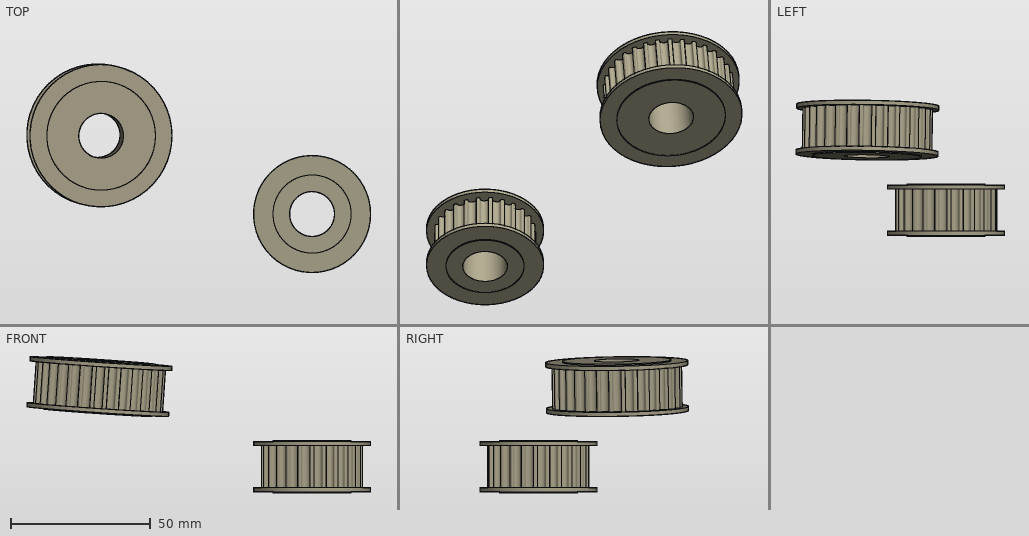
import cadquery as cq
import math

BORE_DIAMETER = 16.0
TOOTH_LENGTH = 15.0
FLANGE_THICKNESS = 1.5
HUB_PROJECTION = 0.4

HUB_LENGTH = TOOTH_LENGTH + 2 * (FLANGE_THICKNESS + HUB_PROJECTION)

GROOVE_WIDTH = 3.0
GROOVE_FLOOR_RADIUS = 2.0
GROOVE_CORNER_RADIUS = 1.15
GROOVE_DEPTH = 1.85
TIP_ROUND = 0.4

SMALL_TEETH = 25
SMALL_TIP_DIAMETER = 36.35
SMALL_FLANGE_DIAMETER = 42.0
SMALL_HUB_DIAMETER = 28.0

LARGE_TEETH = 32
LARGE_TIP_DIAMETER = 46.65
LARGE_FLANGE_DIAMETER = 51.0
LARGE_HUB_DIAMETER = 39.0
LARGE_CENTRE = (-76.18, 28.17, 28.69)
LARGE_TILT_ABOUT_X = 0.9
LARGE_TILT_ABOUT_Y = 3.9


def tooth_outline(teeth, tip_diameter):
    """Closed outline of the toothed rim, with one groove centred on +Y."""
    tip_radius = tip_diameter / 2
    root_radius = tip_radius - GROOVE_DEPTH
    half_width = GROOVE_WIDTH / 2
    floor_centre = root_radius + GROOVE_FLOOR_RADIUS
    corner_offset = half_width - GROOVE_CORNER_RADIUS
    join_angle = math.asin(corner_offset / (GROOVE_FLOOR_RADIUS - GROOVE_CORNER_RADIUS))
    corner_centre = floor_centre - corner_offset / math.tan(join_angle)
    corner_mid_angle = (join_angle + math.pi / 2) / 2
    corner_mid = (
        corner_centre - GROOVE_CORNER_RADIUS * math.cos(corner_mid_angle),
        corner_offset + GROOVE_CORNER_RADIUS * math.sin(corner_mid_angle),
    )
    floor_end = (
        floor_centre - GROOVE_FLOOR_RADIUS * math.cos(join_angle),
        GROOVE_FLOOR_RADIUS * math.sin(join_angle),
    )
    round_offset = half_width + TIP_ROUND
    round_centre = math.sqrt((tip_radius - TIP_ROUND) ** 2 - round_offset**2)
    round_angle = math.atan2(round_offset, round_centre)
    mid_angle = (round_angle - math.pi / 2) / 2
    round_mid = (
        round_centre + TIP_ROUND * math.cos(mid_angle),
        round_offset + TIP_ROUND * math.sin(mid_angle),
    )
    round_end = (tip_radius * math.cos(round_angle), tip_radius * math.sin(round_angle))
    step = 2 * math.pi / teeth

    def turned(point, index, side=1):
        """Turn a point of the groove drawn along +X to groove `index`; side -1 mirrors it first."""
        x = point[0]
        y = side * point[1]
        angle = math.pi / 2 + index * step
        return (
            x * math.cos(angle) - y * math.sin(angle),
            x * math.sin(angle) + y * math.cos(angle),
        )

    wall_outer = (round_centre, half_width)
    wall_inner = (corner_centre, half_width)
    tip_middle = (tip_radius * math.cos(step / 2), tip_radius * math.sin(step / 2))

    outline = cq.Workplane("XY").moveTo(*turned(round_end, 0, -1))
    for i in range(teeth):
        outline = (
            outline.threePointArc(turned(round_mid, i, -1), turned(wall_outer, i, -1))
            .lineTo(*turned(wall_inner, i, -1))
            .threePointArc(turned(corner_mid, i, -1), turned(floor_end, i, -1))
            .threePointArc(turned((root_radius, 0), i), turned(floor_end, i))
            .threePointArc(turned(corner_mid, i), turned(wall_inner, i))
            .lineTo(*turned(wall_outer, i))
            .threePointArc(turned(round_mid, i), turned(round_end, i))
            .threePointArc(turned(tip_middle, i), turned(round_end, i + 1, -1))
        )
    return outline.close()


def toothed_hub(teeth, tip_diameter, hub_diameter):
    """Toothed rim on a hub that projects through both flanges, bored right through."""
    rim = tooth_outline(teeth, tip_diameter).extrude(TOOTH_LENGTH / 2, both=True)
    hub = cq.Workplane("XY").circle(hub_diameter / 2).extrude(HUB_LENGTH / 2, both=True)
    bore = cq.Workplane("XY").circle(BORE_DIAMETER / 2).extrude(HUB_LENGTH / 2, both=True)
    return rim.union(hub).cut(bore)


def flange(flange_diameter, hub_diameter, base_height):
    """Flat ring that fits round the hub, its lower face at base_height."""
    return (
        cq.Workplane("XY")
        .workplane(offset=base_height)
        .circle(flange_diameter / 2)
        .circle(hub_diameter / 2)
        .extrude(FLANGE_THICKNESS)
    )


def pulley(teeth, tip_diameter, flange_diameter, hub_diameter):
    """The three solids of one pulley: toothed hub, lower flange and upper flange."""
    bodies = [toothed_hub(teeth, tip_diameter, hub_diameter).val()]
    for base_height in (-TOOTH_LENGTH / 2 - FLANGE_THICKNESS, TOOTH_LENGTH / 2):
        bodies.append(flange(flange_diameter, hub_diameter, base_height).val())
    return bodies


small_pulley = pulley(SMALL_TEETH, SMALL_TIP_DIAMETER, SMALL_FLANGE_DIAMETER, SMALL_HUB_DIAMETER)

large_pulley = [
    body.rotate((0, 0, 0), (1, 0, 0), LARGE_TILT_ABOUT_X)
    .rotate((0, 0, 0), (0, 1, 0), LARGE_TILT_ABOUT_Y)
    .translate(LARGE_CENTRE)
    for body in pulley(LARGE_TEETH, LARGE_TIP_DIAMETER, LARGE_FLANGE_DIAMETER, LARGE_HUB_DIAMETER)
]

result = cq.Compound.makeCompound([*small_pulley, *large_pulley])